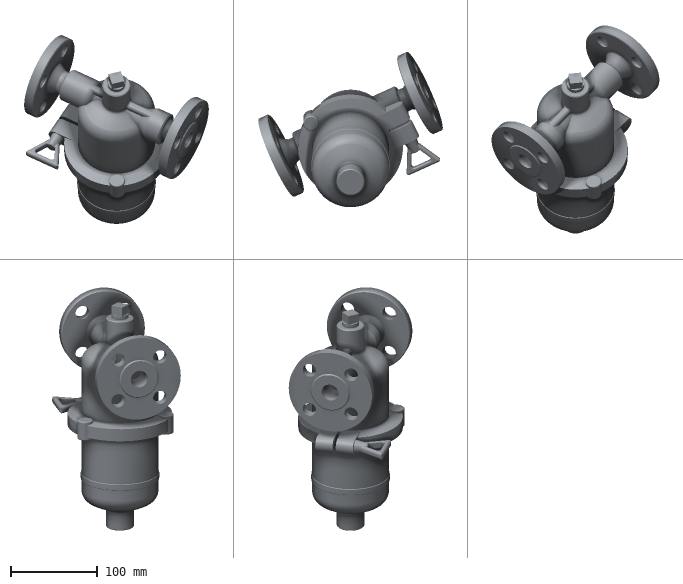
import cadquery as cq
import math


body_radius = 89 / 2
neck_radius = 32 / 2
neck_top = 44.0
drain_bottom = -210.0
neck_edge_chamfer = 1.0
shell_top = -9.7
shell_bottom = -164.8
knuckle_radius = 15.7
knuckle_angle = math.radians(60)
neck_root_fillet = 2.5
bead_radius = 45.3
bead_top = -144.0
bead_bottom = -151.5
bead_fillet = 0.7

plug_radius = 19.4 / 2
plug_head_bottom = 48.5
plug_top = 59.0
plug_head_diagonal = 20.6

flange_radius = 99 / 2
flange_face_x = 95.5
raised_face_height = 1.3
raised_face_radius = 23.0
raised_face_chamfer = 1.2
flange_back_x = 82.6
flange_chamfer = 1.0
pipe_radius = 27.2 / 2
hub_radius = 19.3
hub_end_x = 73.2
hub_root_fillet = 2.0
socket_radius = 38 / 2
socket_outer_x = 65.8
socket_chamfer = 1.5
socket_root_fillet = 2.4
inlet_shoulder_x = 34.6
inlet_shoulder_length = 7.3
inlet_shoulder_drop = 3.9
inlet_root_length = 2.4
outlet_shoulder_x = 47.3
outlet_shoulder_length = 11.0
bore_radius = 20 / 2
bore_depth = flange_face_x - socket_outer_x
bolt_hole_radius = 16 / 2
bolt_circle_radius = 70 / 2
bolt_count = 4
first_bolt_angle = 45

rib_half_width = 4.9
rib_fillet = 3.7
rib_root_fillet = 2.5

clamp_z = -79.1
clamp_radius = 120.62 / 2
clamp_rim_height = 14.6
joint_radius = 99 / 2
joint_height = 18.5
lug_center_x = -67.8
lug_radius = joint_height / 2
lug_half_width = 22.4
lug_gap = 3.8
lug_gap_length = lug_radius - lug_center_x - joint_radius
lug_inner_x = -40.0

pin_radius = 9.0
pin_circle_radius = 55.2
pin_angle = 60
pin_height = 23.0
pin_fillet = 1.5

bolt_x = -65.4
bolt_root_radius = 8.1
bolt_end_radius = 5.8
bolt_end_y = -37.8
bolt_end_chamfer = 1.0
handle_height = 8.6
handle_end_y = -clamp_radius
handle_top_y = -31.0
handle_top_half_width = 7.6
handle_half_width = 22.6
handle_corner_chamfer = 3.0
handle_bar = 5.7
handle_leg_width = 5.1
handle_corner_fillet = 3.0
handle_outer_fillet = 3.2
handle_inner_fillet = 1.6

pick_margin = 1.0


def end_dome(direction, shell_end, neck_end):
    """Dished end with its neck; direction is +1 upward or -1 downward."""
    crown_radius = (body_radius - knuckle_radius) / math.cos(knuckle_angle) + knuckle_radius
    knuckle_center = body_radius - knuckle_radius
    crown_center = -knuckle_center * math.tan(knuckle_angle)

    def on_knuckle(angle):
        radius = knuckle_center + knuckle_radius * math.cos(angle)
        height = knuckle_radius * math.sin(angle)
        return radius, shell_end + direction * height

    def on_crown(angle):
        radius = crown_radius * math.cos(angle)
        height = crown_center + crown_radius * math.sin(angle)
        return radius, shell_end + direction * height

    neck_angle = math.acos(neck_radius / crown_radius)
    neck_root = on_crown(neck_angle)
    dome = (
        cq.Workplane("XZ")
        .moveTo(0, shell_end)
        .lineTo(body_radius, shell_end)
        .threePointArc(on_knuckle(knuckle_angle / 2), on_knuckle(knuckle_angle))
        .threePointArc(on_crown((knuckle_angle + neck_angle) / 2), neck_root)
        .lineTo(neck_radius, neck_end - direction * neck_edge_chamfer)
        .lineTo(neck_radius - neck_edge_chamfer, neck_end)
        .lineTo(0, neck_end)
        .close()
        .revolve(360, (0, 0, 0), (0, 1, 0))
    )
    root_edge = cq.selectors.NearestToPointSelector((0, 0, neck_root[1]))
    return dome.edges("%CIRCLE").edges(root_edge).fillet(neck_root_fillet)


def bar_along_z(radius, bottom, top):
    return cq.Workplane("XY").workplane(offset=bottom).circle(radius).extrude(top - bottom)


def vessel():
    shell = bar_along_z(body_radius, shell_bottom, shell_top)
    bead = bar_along_z(bead_radius, bead_bottom, bead_top).edges().fillet(bead_fillet)
    top_end = end_dome(1, shell_top, neck_top)
    bottom_end = end_dome(-1, shell_bottom, drain_bottom)
    return shell.union(top_end).union(bottom_end).union(bead)


def plug():
    shank = bar_along_z(plug_radius, neck_top, plug_head_bottom)
    head = (
        cq.Workplane("XY")
        .workplane(offset=plug_head_bottom)
        .polygon(4, plug_head_diagonal)
        .extrude(plug_top - plug_head_bottom)
    )
    return shank.union(head)


def connection_profile(shoulder_x):
    """Half section of a +X flanged connection, from the flange face to the socket shoulder."""
    disc_x = flange_face_x - raised_face_height
    hub_angle = math.atan2(hub_radius - pipe_radius, flange_back_x - hub_end_x)
    hub_setback = hub_root_fillet * math.tan((math.pi / 2 - hub_angle) / 2)
    hub_fillet_end = (
        flange_back_x - hub_setback * math.cos(hub_angle),
        hub_radius - hub_setback * math.sin(hub_angle),
    )
    socket_fillet_end = (socket_outer_x, pipe_radius + socket_root_fillet)
    return (
        cq.Workplane("XY")
        .moveTo(0, 0)
        .lineTo(flange_face_x, 0)
        .lineTo(flange_face_x, raised_face_radius - raised_face_chamfer)
        .lineTo(flange_face_x - raised_face_chamfer, raised_face_radius)
        .lineTo(disc_x, raised_face_radius)
        .lineTo(disc_x, flange_radius)
        .lineTo(flange_back_x + flange_chamfer, flange_radius)
        .lineTo(flange_back_x, flange_radius - flange_chamfer)
        .lineTo(flange_back_x, hub_radius + hub_setback)
        .tangentArcPoint(hub_fillet_end, relative=False)
        .lineTo(hub_end_x, pipe_radius)
        .lineTo(socket_outer_x + socket_root_fillet, pipe_radius)
        .tangentArcPoint(socket_fillet_end, relative=False)
        .lineTo(socket_outer_x, socket_radius - socket_chamfer)
        .lineTo(socket_outer_x - socket_chamfer, socket_radius)
        .lineTo(shoulder_x, socket_radius)
    )


def revolve_to_center(profile):
    return profile.lineTo(0, pipe_radius).close().revolve(360, (0, 0, 0), (1, 0, 0))


def inlet():
    """Connection on the -X side, with a rounded socket shoulder."""
    root_drop = socket_radius - inlet_shoulder_drop - pipe_radius
    profile = (
        connection_profile(inlet_shoulder_x)
        .tangentArcPoint((-inlet_shoulder_length, -inlet_shoulder_drop))
        .tangentArcPoint((-inlet_root_length, -root_drop))
    )
    return revolve_to_center(profile).mirror("YZ")


def outlet():
    """Connection on the +X side, with a conical socket shoulder."""
    shoulder_end = outlet_shoulder_x - outlet_shoulder_length
    return revolve_to_center(connection_profile(outlet_shoulder_x).lineTo(shoulder_end, pipe_radius))


def rib(start_x, end_x):
    return (
        cq.Workplane("XY")
        .box(end_x - start_x, 2 * rib_half_width, socket_radius, centered=(False, True, False))
        .edges("|X and >Z")
        .fillet(rib_fillet)
        .translate((start_x, 0, 0))
    )


def ribs():
    """Both ribs, filleted where they meet the neck."""
    core = bar_along_z(neck_radius, 0, neck_top - neck_edge_chamfer)
    joined = core.union(rib(-inlet_shoulder_x, outlet_shoulder_x))
    for side in (-1, 1):
        root = cq.selectors.BoxSelector(
            (side * (neck_radius - rib_root_fillet), -2 * rib_half_width, pick_margin),
            (side * (neck_radius + pick_margin), 2 * rib_half_width, socket_radius + pick_margin),
        )
        joined = joined.edges(root).fillet(rib_root_fillet)
    return joined


def flange_holes():
    """Bores in both flange faces and the bolt holes, which pass through both discs."""
    disc_thickness = flange_face_x - flange_back_x
    holes = None
    for side in (-1, 1):
        face = cq.Workplane("YZ").workplane(offset=side * flange_face_x)
        bore = face.circle(bore_radius).extrude(-side * bore_depth)
        bolts = (
            face.polarArray(bolt_circle_radius, first_bolt_angle, 360, bolt_count)
            .circle(bolt_hole_radius)
            .extrude(-side * disc_thickness)
        )
        pair = bore.union(bolts)
        holes = pair if holes is None else holes.union(pair)
    return holes


def clamp_ring():
    """Ring whose top and bottom faces slope down from the joint to the rim."""
    half_rim = clamp_rim_height / 2
    half_joint = joint_height / 2
    return (
        cq.Workplane("XZ")
        .polyline([
            (0, clamp_z - half_joint),
            (joint_radius, clamp_z - half_joint),
            (clamp_radius, clamp_z - half_rim),
            (clamp_radius, clamp_z + half_rim),
            (joint_radius, clamp_z + half_joint),
            (0, clamp_z + half_joint),
        ])
        .close()
        .revolve(360, (0, 0, 0), (0, 1, 0))
    )


def clamp():
    lug = (
        cq.Workplane("XZ")
        .moveTo(lug_inner_x, clamp_z + lug_radius)
        .lineTo(lug_center_x, clamp_z + lug_radius)
        .threePointArc((lug_center_x - lug_radius, clamp_z), (lug_center_x, clamp_z - lug_radius))
        .lineTo(lug_inner_x, clamp_z - lug_radius)
        .close()
        .extrude(lug_half_width, both=True)
    )
    gap = (
        cq.Workplane("XY")
        .box(lug_gap_length, lug_gap, joint_height)
        .translate((-joint_radius - lug_gap_length / 2, 0, clamp_z))
    )
    return clamp_ring().union(lug).cut(gap)


def hinge_pin(angle):
    x = pin_circle_radius * math.cos(math.radians(angle))
    y = pin_circle_radius * math.sin(math.radians(angle))
    return (
        cq.Workplane("XY")
        .circle(pin_radius)
        .extrude(pin_height)
        .edges()
        .fillet(pin_fillet)
        .translate((x, y, clamp_z - pin_height / 2))
    )


def clamp_bolt():
    """Tapered bolt end standing on the -Y face of the lug."""
    return (
        cq.Workplane("XY")
        .moveTo(0, -lug_half_width)
        .lineTo(bolt_root_radius, -lug_half_width)
        .lineTo(bolt_end_radius, bolt_end_y + bolt_end_chamfer)
        .lineTo(bolt_end_radius - bolt_end_chamfer, bolt_end_y)
        .lineTo(0, bolt_end_y)
        .close()
        .revolve(360, (0, 0, 0), (0, 1, 0))
        .translate((bolt_x, 0, clamp_z))
    )


def handle():
    inner_end_y = handle_end_y + handle_bar
    leg_slope = (handle_half_width - handle_top_half_width) / (handle_top_y - handle_end_y)
    leg_offset = handle_leg_width * math.hypot(1, leg_slope)

    def leg_half_width(y):
        return handle_top_half_width + leg_slope * (handle_top_y - y)

    inner_end_half = leg_half_width(inner_end_y) - leg_offset
    inner_top_half = leg_half_width(bolt_end_y) - leg_offset
    plane = cq.Workplane("XY").workplane(offset=-handle_height / 2)
    outer = (
        plane.polyline([
            (-handle_top_half_width, handle_top_y),
            (-handle_half_width, handle_end_y),
            (handle_half_width, handle_end_y),
            (handle_top_half_width, handle_top_y),
        ])
        .close()
        .extrude(handle_height)
        .faces("<Z or >Z")
        .edges("not >Y")
        .fillet(handle_outer_fillet)
    )
    corner_half = leg_half_width(handle_end_y + handle_corner_chamfer)
    corner_limit = (
        plane.center(0, handle_end_y + handle_half_width)
        .rect(2 * corner_half, 2 * handle_half_width)
        .extrude(handle_height)
        .edges("|Z and <Y")
        .chamfer(handle_corner_chamfer, handle_corner_chamfer / 2)
    )
    opening = (
        plane.polyline([
            (-inner_top_half, bolt_end_y),
            (-inner_end_half, inner_end_y),
            (inner_end_half, inner_end_y),
            (inner_top_half, bolt_end_y),
        ])
        .close()
        .extrude(handle_height)
        .edges("|Z and <Y")
        .fillet(handle_corner_fillet)
    )
    rim = cq.selectors.BoxSelector(
        (-leg_half_width(inner_end_y), inner_end_y - pick_margin, -handle_height),
        (leg_half_width(inner_end_y), bolt_end_y + pick_margin, handle_height),
        boundingbox=True,
    )
    frame = outer.intersect(corner_limit).cut(opening)
    frame = frame.faces("<Z or >Z").edges(rim).fillet(handle_inner_fillet)
    return frame.translate((bolt_x, 0, clamp_z))


def build():
    part = vessel().union(plug()).union(inlet()).union(outlet())
    part = part.union(ribs()).cut(flange_holes()).union(clamp())
    for angle in (pin_angle, -pin_angle):
        part = part.union(hinge_pin(angle))
    return part.union(clamp_bolt()).union(handle())


result = build()